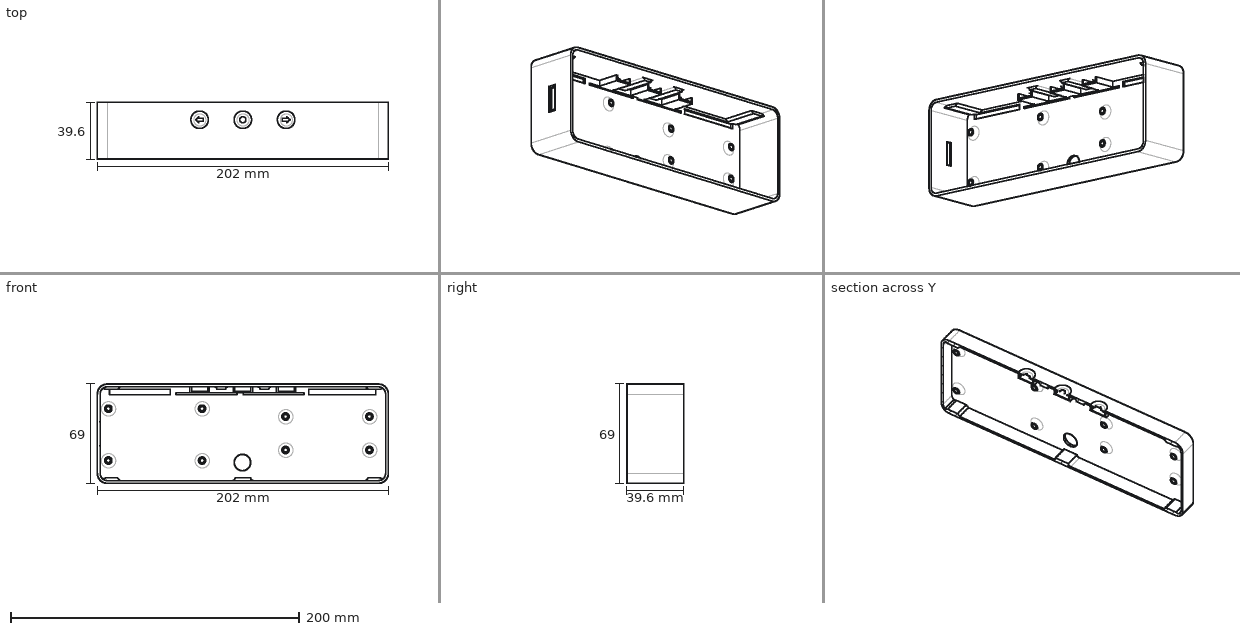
import cadquery as cq
import math

LENGTH = 202.0
DEPTH = 39.6
HEIGHT = 69.0
WALL = 2.0
CORNER_RADIUS = 7.0

BACK_INNER_Y = DEPTH / 2 - WALL
CEILING_Z = HEIGHT / 2 - WALL
FLOOR_Z = -CEILING_Z
INNER_LENGTH = LENGTH - 2 * WALL
INNER_HEIGHT = HEIGHT - 2 * WALL

PAD_HEIGHT = 1.8
PAD_FRONT_Y = -8.0
SMALL_PAD_X = 15.0
SMALL_PAD_TOP_WIDTH = 6.0
CENTRE_PAD_TOP_WIDTH = 10.8
CORNER_PAD_TOP_X = 87.0
GROOVE_INNER_X = 95.2
GROOVE_OUTER_X = 98.8
GROOVE_DEPTH = 0.5

POST_DIAMETER = 5.0
POST_HEIGHT = 3.0
POST_FLARE_RADIUS = 2.5
SCREW_HOLE_DIAMETER = 3.0
POST_GROUPS = [
    (-60.8, -0.6, 65.0, 36.0),
    (58.7, 0.3, 58.2, 23.2),
]

CABLE_HOLE_DIAMETER = 11.2
CABLE_HOLE_X = -0.3
CABLE_HOLE_Z = -20.0
VENT_BOTTOM_Z = 27.1
OUTER_VENT_TOP_Z = CEILING_Z - PAD_HEIGHT
INNER_VENT_TOP_Z = 28.3
VENTS = [
    (-92.4, -50.4, OUTER_VENT_TOP_Z),
    (-46.2, -4.2, INNER_VENT_TOP_Z),
    (0.4, 42.4, INNER_VENT_TOP_Z),
    (45.8, 92.0, OUTER_VENT_TOP_Z),
]

BUTTON_PITCH = 30.0
BUTTON_Y = 7.6
DISH_TOP_DIAMETER = 12.1
DISH_FLOOR_DIAMETER = 8.4
DISH_DEPTH = 1.0
MARK_DEPTH = 0.4
ROUND_MARK_DIAMETER = 4.2
ARROW_LENGTH = 5.4
ARROW_HEAD_LENGTH = 2.2
ARROW_HEAD_WIDTH = 4.0
ARROW_SHAFT_WIDTH = 1.8
SLEEVE_WALL = 1.2
SLEEVE_OPENING_WIDTH = 11.0
SLEEVE_OPENING_HEIGHT = 3.0
SLEEVE_WIDTH = SLEEVE_OPENING_WIDTH + 2 * SLEEVE_WALL
SLEEVE_HEIGHT = SLEEVE_OPENING_HEIGHT + SLEEVE_WALL
SLEEVE_FRONT_Y = BUTTON_Y - SLEEVE_WIDTH / 2
SLEEVE_BACK_WALL_Y = BUTTON_Y + SLEEVE_OPENING_WIDTH / 2

SOCKET_WIDTH = 4.3
SOCKET_HEIGHT = 16.5
SOCKET_Y = -1.0
SOCKET_RIM_WIDTH = 1.2
SOCKET_RIM_DEPTH = 0.6


def block(x_range, y_range, z_range):
    """Box spanning the given ranges."""
    lengths = [end - start for start, end in (x_range, y_range, z_range)]
    corner = (x_range[0], y_range[0], z_range[0])
    return cq.Workplane("XY").box(*lengths, centered=False).translate(corner)


def rounded_block(length, height, radius, y_start, y_end):
    """Block with its four Y-parallel edges rounded."""
    return (
        cq.Workplane("XZ", origin=(0, y_start, 0))
        .rect(length, height)
        .extrude(y_start - y_end)
        .edges("|Y")
        .fillet(radius)
    )


def cavity(front_y):
    """Inner space of the case, from front_y to the back wall."""
    return rounded_block(INNER_LENGTH, INNER_HEIGHT, CORNER_RADIUS - WALL, front_y, BACK_INNER_Y)


def make_shell():
    outer = rounded_block(LENGTH, HEIGHT, CORNER_RADIUS, -DEPTH / 2, DEPTH / 2)
    return outer.cut(cavity(-DEPTH / 2))


def extrude_pad(profile):
    """Close an XZ profile and extrude it from the pad front to the back wall."""
    return profile.close().extrude(PAD_FRONT_Y - BACK_INNER_Y)


def pad_sketch():
    return cq.Workplane("XZ", origin=(0, PAD_FRONT_Y, 0))


def make_flared_pad(x, top_width):
    """Floor pad whose sides sweep out to the floor in concave quarter arcs."""
    half_top = top_width / 2
    half_base = half_top + PAD_HEIGHT
    top_z = FLOOR_Z + PAD_HEIGHT
    sunk_z = FLOOR_Z - WALL / 2
    arc_offset = PAD_HEIGHT * (1 - math.sqrt(0.5))
    arc_x = half_top + arc_offset
    arc_z = FLOOR_Z + arc_offset
    profile = (
        pad_sketch()
        .moveTo(x - half_base, sunk_z)
        .lineTo(x - half_base, FLOOR_Z)
        .threePointArc((x - arc_x, arc_z), (x - half_top, top_z))
        .lineTo(x + half_top, top_z)
        .threePointArc((x + arc_x, arc_z), (x + half_base, FLOOR_Z))
        .lineTo(x + half_base, sunk_z)
    )
    return extrude_pad(profile)


def make_corner_pad():
    """Floor pad filling the +X corner."""
    top_z = FLOOR_Z + PAD_HEIGHT
    base_x = CORNER_PAD_TOP_X - PAD_HEIGHT
    groove_x = (GROOVE_INNER_X + GROOVE_OUTER_X) / 2
    embedded_x = INNER_LENGTH / 2
    profile = (
        pad_sketch()
        .moveTo(base_x, FLOOR_Z)
        .lineTo(CORNER_PAD_TOP_X, top_z)
        .lineTo(GROOVE_INNER_X, top_z)
        .threePointArc((groove_x, top_z - GROOVE_DEPTH), (GROOVE_OUTER_X, top_z))
        .lineTo(embedded_x, top_z)
        .lineTo(embedded_x, FLOOR_Z)
    )
    return extrude_pad(profile).intersect(cavity(-DEPTH / 2))


def make_pads():
    """Centre pad on the floor, small pads on the ceiling and a pad in all four corners."""
    pads = make_flared_pad(0, CENTRE_PAD_TOP_WIDTH)
    right_corner_pad = make_corner_pad()
    for corner_pad in (right_corner_pad, right_corner_pad.mirror("YZ")):
        pads = pads.union(corner_pad).union(corner_pad.mirror("XY"))
    for side in (-1, 1):
        small_pad = make_flared_pad(side * SMALL_PAD_X, SMALL_PAD_TOP_WIDTH)
        pads = pads.union(small_pad.mirror("XY"))
    return pads


def make_post():
    """Flared post with a blind screw hole, standing along +Z on the XY plane."""
    radius = POST_DIAMETER / 2
    hole_radius = SCREW_HOLE_DIAMETER / 2
    flare_outer = radius + POST_FLARE_RADIUS
    arc_offset = POST_FLARE_RADIUS * (1 - math.sqrt(0.5))
    return (
        cq.Workplane("XZ")
        .moveTo(hole_radius, 0)
        .lineTo(flare_outer, 0)
        .threePointArc((radius + arc_offset, arc_offset), (radius, POST_FLARE_RADIUS))
        .lineTo(radius, POST_HEIGHT)
        .lineTo(hole_radius, POST_HEIGHT)
        .close()
        .revolve(360, (0, 0, 0), (0, 1, 0))
    )


def make_posts():
    """All posts, trimmed where a flare would run into an end wall."""
    forward_post = make_post().rotate((0, 0, 0), (1, 0, 0), 90)
    posts = cq.Workplane("XY")
    for centre_x, centre_z, spacing_x, spacing_z in POST_GROUPS:
        for side_x in (-0.5, 0.5):
            for side_z in (-0.5, 0.5):
                x = centre_x + side_x * spacing_x
                z = centre_z + side_z * spacing_z
                posts = posts.add(forward_post.translate((x, BACK_INNER_Y, z)))
    return posts.combine().intersect(cavity(-DEPTH / 2))


def make_sleeve(x):
    """Switch holder under a button, open to the front and closed by the ceiling."""
    body = block(
        (x - SLEEVE_WIDTH / 2, x + SLEEVE_WIDTH / 2),
        (SLEEVE_FRONT_Y, BACK_INNER_Y),
        (CEILING_Z - SLEEVE_HEIGHT, CEILING_Z),
    )
    opening = block(
        (x - SLEEVE_OPENING_WIDTH / 2, x + SLEEVE_OPENING_WIDTH / 2),
        (SLEEVE_FRONT_Y, SLEEVE_BACK_WALL_Y),
        (CEILING_Z - SLEEVE_OPENING_HEIGHT, CEILING_Z),
    )
    return body.cut(opening)


def make_dish(x):
    """Finger recess with a flat floor and a concave rim that meets the floor tangentially."""
    rim_radius = DISH_TOP_DIAMETER / 2
    floor_radius = DISH_FLOOR_DIAMETER / 2
    return (
        cq.Workplane("XZ")
        .lineTo(0, -DISH_DEPTH)
        .lineTo(floor_radius, -DISH_DEPTH)
        .tangentArcPoint((rim_radius, 0), relative=False)
        .close()
        .revolve(360, (0, 0, 0), (0, 1, 0))
        .translate((x, BUTTON_Y, HEIGHT / 2))
    )


def make_arrow_mark(x, direction):
    """Arrow-shaped recess in a dish floor; direction is +1 or -1 along X."""
    tip = direction * ARROW_LENGTH / 2
    neck = tip - direction * ARROW_HEAD_LENGTH
    half_head = ARROW_HEAD_WIDTH / 2
    half_shaft = ARROW_SHAFT_WIDTH / 2
    outline = [
        (tip, 0),
        (neck, half_head),
        (neck, half_shaft),
        (-tip, half_shaft),
        (-tip, -half_shaft),
        (neck, -half_shaft),
        (neck, -half_head),
    ]
    return (
        cq.Workplane("XY", origin=(x, BUTTON_Y, HEIGHT / 2 - DISH_DEPTH))
        .polyline(outline)
        .close()
        .extrude(-MARK_DEPTH)
    )


def make_round_mark():
    return (
        cq.Workplane("XY", origin=(0, BUTTON_Y, HEIGHT / 2 - DISH_DEPTH))
        .circle(ROUND_MARK_DIAMETER / 2)
        .extrude(-MARK_DEPTH)
    )


def add_buttons(case):
    for position in (-1, 0, 1):
        x = position * BUTTON_PITCH
        mark = make_arrow_mark(x, position) if position else make_round_mark()
        case = case.union(make_sleeve(x)).cut(make_dish(x)).cut(mark)
    return case


def cut_back_openings(case):
    for left, right, top in VENTS:
        case = case.cut(block((left, right), (BACK_INNER_Y, DEPTH / 2), (VENT_BOTTOM_Z, top)))
    cable_hole = (
        cq.Workplane("XZ", origin=(CABLE_HOLE_X, BACK_INNER_Y, CABLE_HOLE_Z))
        .circle(CABLE_HOLE_DIAMETER / 2)
        .extrude(-WALL)
    )
    return case.cut(cable_hole)


def cut_socket(case):
    """Rectangular opening through the -X wall with a sloping outer rim."""
    outer_x = -LENGTH / 2
    opening = (
        cq.Workplane("YZ", origin=(outer_x, SOCKET_Y, 0))
        .rect(SOCKET_WIDTH, SOCKET_HEIGHT)
        .extrude(WALL)
    )
    rim = (
        cq.Workplane("YZ", origin=(outer_x, SOCKET_Y, 0))
        .rect(SOCKET_WIDTH + 2 * SOCKET_RIM_WIDTH, SOCKET_HEIGHT + 2 * SOCKET_RIM_WIDTH)
        .workplane(offset=SOCKET_RIM_DEPTH)
        .rect(SOCKET_WIDTH, SOCKET_HEIGHT)
        .loft()
    )
    return case.cut(opening).cut(rim)


case = make_shell().union(make_pads()).union(make_posts())
case = add_buttons(case)
case = cut_back_openings(case)
result = cut_socket(case)